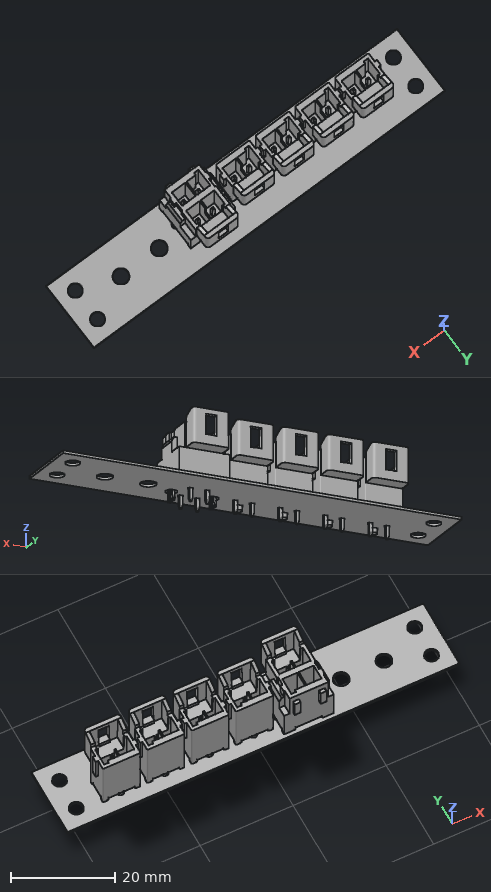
import cadquery as cq

board_length = 84.25
board_width = 15.25
board_thickness = 0.6
corner_hole_diameter = 2.9
corner_hole_x = 38.2
corner_hole_y = 3.5
large_hole_diameter = 3.2
large_hole_places = [(20.3, -0.5), (29.5, -0.5)]

pin_pitch = 3.5
pin_side = 0.7
pin_hole_diameter = 1.0
pin_top_z = 6.7
pin_bottom_z = -3.2
pin_tip_length = 0.8
pin_tip_side = 0.3
cell_depth = 3.3
cell_width = 3.2
cell_floor_z = 2.0
divider_width = pin_pitch - cell_width
key_width = 1.0
key_depth = 0.5

housing_top_z = 12.0
latch_top_z = 14.0
step_z = 6.65
recess_height = 0.7
recess_flare = 0.25
foot_length = 1.0
front_channel_width = 5.65

latch_width = 7.75
latch_back_y = 5.7
latch_corner_radius = 0.8
latch_front_y = 2.45
slope_start_y = 4.7
slope_break_y = 2.95
slope_break_z = 13.2
slope_end_z = 13.0
room_width = 6.1
room_mouth_width = 5.4
room_back_y = 4.7
room_front_y = cell_depth / 2
room_floor_z = 7.8
room_draft = 1.6
window_width = 2.3
window_top_z = 12.9
window_sill_z = 8.7
catch_depth = 0.5

small_pitch = 9.5
small_count = 4
small_first_x = -29.0
small_row_y = -1.8
small_width = 8.1
small_front_y = -4.7
corner_radius = 0.25
rib_width = 1.3
small_rib_reach = 0.5
peg_diameter = 1.4
peg_hole_diameter = 1.6
peg_y = -4.05
peg_bottom_z = -1.5

large_x = 10.2
large_row_ys = [0.8, -3.8]
large_width = 10.7
large_upper_width = 8.3
large_front_y = -6.7
front_rib_offset = 2.8
front_rib_reach = 0.8
front_rib_top_z = 10.4
wing_back_y = -0.2
wing_front_y = -4.7
wing_top_z = 9.85
wing_edge_z = 8.85
wing_slope_width = 0.5
groove_back_y = -1.4
groove_front_y = -3.3
groove_depth = 0.25
lock_hole_diameter = 2.3
lock_x = 4.4
lock_y = -2.4
lock_thickness = 0.5
lock_width = 1.9
lock_slot_width = 0.7
lock_bottom_z = -2.5
barb_reach = 0.2
barb_top_z = -0.85
barb_bottom_z = -2.2

small_xs = [small_first_x + i * small_pitch for i in range(small_count)]
small_back_y = small_row_y + latch_front_y
large_back_y = large_row_ys[0] + latch_front_y


def block(x0, x1, y0, y1, z0, z1):
    """Box between two opposite corners."""
    return cq.Workplane("XY").box(x1 - x0, y1 - y0, z1 - z0, centered=False).translate((x0, y0, z0))


def centred_block(width, y0, y1, z0, z1):
    """Box that is symmetric about X = 0."""
    return block(-width / 2, width / 2, y0, y1, z0, z1)


def pin_xs():
    return [-pin_pitch / 2, pin_pitch / 2]


def make_pin(x, y):
    """Square pin with a pyramid point at each end."""
    shank_bottom_z = pin_bottom_z + pin_tip_length
    shank_top_z = pin_top_z - pin_tip_length
    shank = (
        cq.Workplane("XY").workplane(offset=shank_bottom_z)
        .rect(pin_side, pin_side).extrude(shank_top_z - shank_bottom_z)
    )
    for start_z, tip_z in [(shank_bottom_z, pin_bottom_z), (shank_top_z, pin_top_z)]:
        tip = (
            cq.Workplane("XY").workplane(offset=start_z).rect(pin_side, pin_side)
            .workplane(offset=tip_z - start_z).rect(pin_tip_side, pin_tip_side).loft(ruled=True)
        )
        shank = shank.union(tip)
    return shank.translate((x, y, 0))


def cut_cells(housing, row_y):
    """Two open cells side by side, parted by a thin divider of full height."""
    back_y = row_y + cell_depth / 2
    front_y = row_y - cell_depth / 2
    pocket = centred_block(pin_pitch + cell_width, front_y, back_y, cell_floor_z, housing_top_z)
    divider = centred_block(divider_width, front_y, back_y, cell_floor_z, housing_top_z)
    return housing.cut(pocket).union(divider)


def cut_key(housing, row_y):
    """Keyway in the front wall, at the left end of the row."""
    left_x = -(pin_pitch + cell_width) / 2
    front_y = row_y - cell_depth / 2
    keyway = block(left_x, left_x + key_width, front_y - key_depth, front_y, cell_floor_z, housing_top_z)
    return housing.cut(keyway)


def add_latch(housing, row_y):
    """Raised frame behind the row, with sloping side walls, an inner room and a rear window."""
    profile = [
        (latch_front_y, step_z),
        (latch_back_y, step_z),
        (latch_back_y, latch_top_z),
        (slope_start_y, latch_top_z),
        (slope_break_y, slope_break_z),
        (latch_front_y, slope_end_z),
    ]
    frame = (
        cq.Workplane("YZ").polyline(profile).close().extrude(latch_width / 2, both=True)
        .edges("|Z and >Y").fillet(latch_corner_radius)
    )
    room = (
        cq.Workplane("XY").workplane(offset=latch_top_z)
        .center(0, (room_back_y + room_front_y) / 2)
        .rect(room_width, room_back_y - room_front_y)
        .extrude(room_floor_z - latch_top_z, taper=room_draft)
    )
    room_mouth = centred_block(room_mouth_width, 0, latch_front_y, room_floor_z, latch_top_z)
    window = centred_block(window_width, room_back_y - catch_depth, latch_back_y, window_sill_z, window_top_z)
    catch = centred_block(
        window_width, room_back_y - catch_depth, room_back_y, room_floor_z, window_sill_z
    )
    opening = room.union(room_mouth).cut(catch).union(window)
    place = (0, row_y, 0)
    return housing.union(frame.translate(place)).cut(opening.translate(place))


def cut_recess(housing, width, front_y, back_y):
    """Two crossing channels under the housing, flared at the bottom, leaving four feet."""
    def channel(plane, centre, span, reach):
        outline = [
            (centre - span / 2 - recess_flare, 0),
            (centre + span / 2 + recess_flare, 0),
            (centre + span / 2, recess_flare),
            (centre + span / 2, recess_height),
            (centre - span / 2, recess_height),
            (centre - span / 2, recess_flare),
        ]
        return cq.Workplane(plane).polyline(outline).close().extrude(reach, both=True)

    depth = back_y - front_y
    side_to_side = channel("YZ", (front_y + back_y) / 2, depth - 2 * foot_length, width)
    front_to_back = channel("XZ", 0, front_channel_width, 2 * depth)
    return housing.cut(side_to_side).cut(front_to_back)


def make_small_header(x):
    """Two-pin header with a side rib on each flank and a locating peg."""
    housing = (
        centred_block(small_width, small_front_y, small_back_y, 0, housing_top_z)
        .edges("|Z").fillet(corner_radius)
    )
    rib_y = (small_front_y + small_back_y) / 2
    rib_span = small_width + 2 * small_rib_reach
    housing = housing.union(
        centred_block(rib_span, rib_y - rib_width / 2, rib_y + rib_width / 2, step_z, housing_top_z)
    )
    housing = cut_recess(housing, small_width, small_front_y, small_back_y)
    housing = cut_cells(housing, small_row_y)
    housing = cut_key(housing, small_row_y)
    housing = add_latch(housing, small_row_y)
    peg = (
        cq.Workplane("XY").workplane(offset=peg_bottom_z).center(0, peg_y)
        .circle(peg_diameter / 2).extrude(recess_height - peg_bottom_z)
    )
    housing = housing.union(peg)
    for pin_x in pin_xs():
        housing = housing.union(make_pin(pin_x, small_row_y))
    return housing.translate((x, 0, 0))


def make_wings():
    """Shoulders on both flanks of the four-pin header, with sloped outer edges."""
    half = large_width / 2
    outline = [
        (-half, step_z),
        (half, step_z),
        (half, wing_edge_z),
        (half - wing_slope_width, wing_top_z),
        (wing_slope_width - half, wing_top_z),
        (-half, wing_edge_z),
    ]
    return (
        cq.Workplane("XZ", origin=(0, wing_back_y, 0)).polyline(outline).close()
        .extrude(wing_back_y - wing_front_y)
    )


def make_board_lock():
    """Pair of barbed prongs that goes through the board."""
    half = lock_width / 2
    outline = [
        (lock_y - half, recess_height),
        (lock_y - half, barb_top_z),
        (lock_y - half - barb_reach, barb_bottom_z),
        (lock_y - half, lock_bottom_z),
        (lock_y + half, lock_bottom_z),
        (lock_y + half + barb_reach, barb_bottom_z),
        (lock_y + half, barb_top_z),
        (lock_y + half, recess_height),
    ]
    plate = cq.Workplane("YZ").polyline(outline).close().extrude(lock_thickness / 2, both=True)
    slot = centred_block(
        lock_thickness, lock_y - lock_slot_width / 2, lock_y + lock_slot_width / 2, lock_bottom_z, 0
    )
    return plate.cut(slot)


def make_large_header():
    """Four-pin header: wide base, narrower top, wings, grooves, front ribs and board locks."""
    base = centred_block(large_width, large_front_y, large_back_y, 0, step_z)
    top = centred_block(large_upper_width, large_front_y, large_back_y, step_z, housing_top_z)
    groove_floor_x = large_upper_width / 2 - groove_depth
    flank_rib_x = large_upper_width / 2 + groove_depth
    flank_rib = centred_block(2 * flank_rib_x, wing_front_y, groove_front_y, step_z, housing_top_z)
    housing = base.union(top).union(make_wings()).union(flank_rib)
    for side in (-1, 1):
        groove = block(
            groove_floor_x, flank_rib_x, groove_front_y, groove_back_y, wing_top_z, housing_top_z
        )
        housing = housing.cut(groove if side > 0 else groove.mirror("YZ"))
        rib_x = side * front_rib_offset
        housing = housing.union(
            block(
                rib_x - rib_width / 2, rib_x + rib_width / 2,
                large_front_y - front_rib_reach, large_front_y, step_z, front_rib_top_z,
            )
        )
    housing = cut_recess(housing, large_width, large_front_y, large_back_y)
    for row_y in large_row_ys:
        housing = cut_cells(housing, row_y)
    housing = cut_key(housing, large_row_ys[-1])
    housing = add_latch(housing, large_row_ys[0])
    for side in (-1, 1):
        housing = housing.union(make_board_lock().translate((side * lock_x, 0, 0)))
    for row_y in large_row_ys:
        for pin_x in pin_xs():
            housing = housing.union(make_pin(pin_x, row_y))
    return housing.translate((large_x, 0, 0))


def make_board():
    """Flat board with mounting holes and the holes for pins, pegs and board locks."""
    pin_places = [(x + pin_x, small_row_y) for x in small_xs for pin_x in pin_xs()]
    pin_places += [(large_x + pin_x, row_y) for row_y in large_row_ys for pin_x in pin_xs()]
    hole_sets = [
        (pin_hole_diameter, pin_places),
        (peg_hole_diameter, [(x, peg_y) for x in small_xs]),
        (lock_hole_diameter, [(large_x - lock_x, lock_y), (large_x + lock_x, lock_y)]),
        (corner_hole_diameter, [(i * corner_hole_x, j * corner_hole_y) for i in (-1, 1) for j in (-1, 1)]),
        (large_hole_diameter, large_hole_places),
    ]
    board = cq.Workplane("XY").rect(board_length, board_width).extrude(-board_thickness)
    for diameter, places in hole_sets:
        holes = cq.Workplane("XY").pushPoints(places).circle(diameter / 2).extrude(-board_thickness)
        board = board.cut(holes)
    return board


board = make_board()
small_headers = [make_small_header(x) for x in small_xs]
large_header = make_large_header()

result = cq.Compound.makeCompound(
    [board.val(), *[header.val() for header in small_headers], large_header.val()]
)